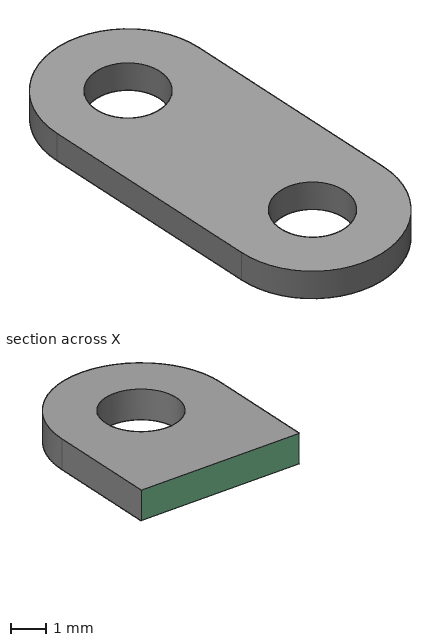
import cadquery as cq

length = 13.12
width = 5.6
thickness = 1.0
hole_diameter = 2.5

hole_spacing = length - width


def link_plate():
    """Plate with full-radius ends, centred on the origin."""
    return cq.Workplane("XY").slot2D(length, width).extrude(thickness)


def drill_end_holes(plate):
    """Cut a through hole at the centre of each rounded end."""
    hole_centers = [(-hole_spacing / 2, 0), (hole_spacing / 2, 0)]
    return plate.faces(">Z").workplane().pushPoints(hole_centers).hole(hole_diameter)


result = drill_end_holes(link_plate())